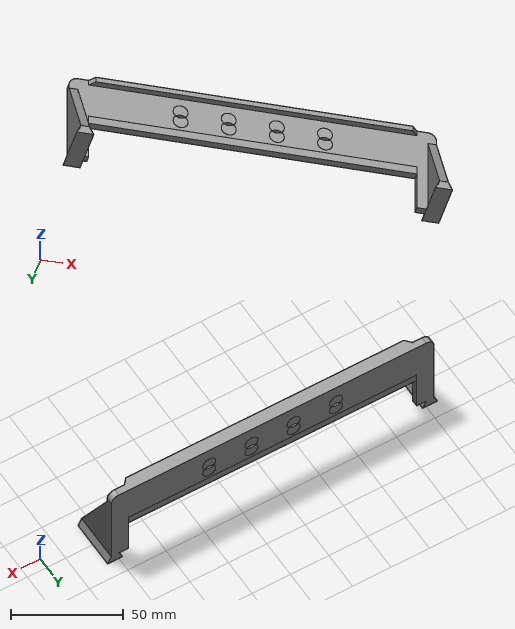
import cadquery as cq
import math

frame_width = 168.0
total_height = 46.8
wall = 3.6
corner_radius = 4.0
beam_height = 20.0
strip_height = 4.0
leg_width = 9.0

foot_height = 4.0
foot_length = 25.0
foot_flare = 1.9
gusset_thickness = 4.0
gusset_drop = 6.0

lip_height = 2.6
lip_depth = 3.0
lip_end_taper = 2.6

plug_diameter = 6.8
plug_pitch = 22.0
plug_columns = 4
plug_spacing = 5.2
pair_drop = 12.4

half_width = frame_width / 2
opening_half_width = half_width - leg_width
beam_bottom = total_height - beam_height
gusset_top = total_height - gusset_drop
plug_radius = plug_diameter / 2
pair_z = total_height - pair_drop
plug_x_positions = [(i - (plug_columns - 1) / 2) * plug_pitch for i in range(plug_columns)]

lens_half_width = math.sqrt(plug_radius**2 - (plug_spacing / 2) ** 2)
lens_half_height = plug_radius - plug_spacing / 2


def make_upright():
    """Beam with a leg at each end and rounded upper corners."""
    upright = (
        cq.Workplane("XZ")
        .moveTo(-half_width, foot_height)
        .lineTo(-half_width, total_height)
        .lineTo(half_width, total_height)
        .lineTo(half_width, foot_height)
        .lineTo(opening_half_width, foot_height)
        .lineTo(opening_half_width, beam_bottom)
        .lineTo(-opening_half_width, beam_bottom)
        .lineTo(-opening_half_width, foot_height)
        .close()
        .extrude(wall)
    )
    return upright.edges("|Y and >Z").edges("<X or >X").fillet(corner_radius)


def make_support(side):
    """Triangular gusset on a flared foot; side is -1 for the left end and 1 for the right."""
    outer_x = side * half_width
    inner_x = side * (half_width - gusset_thickness)
    gusset = (
        cq.Workplane("YZ", origin=(min(outer_x, inner_x), 0, 0))
        .polyline([
            (0, foot_height),
            (0, gusset_top),
            (-wall, gusset_top),
            (-foot_length, foot_height),
        ])
        .close()
        .extrude(gusset_thickness)
    )
    foot = (
        cq.Workplane("XZ")
        .polyline([
            (outer_x, foot_height),
            (outer_x + side * foot_flare, 0),
            (inner_x - side * foot_flare, 0),
            (inner_x, foot_height),
        ])
        .close()
        .extrude(foot_length)
    )
    return gusset.union(foot)


def make_plug_hole(x):
    """Through cutter for one pair: two overlapping cylinders."""
    return (
        cq.Workplane("XZ", origin=(x, 0, pair_z))
        .pushPoints([(0, plug_spacing / 2), (0, -plug_spacing / 2)])
        .circle(plug_radius)
        .extrude(wall)
    )


def make_lip():
    """Ledge along the top of the frame's front face, with tapered ends."""
    free_half_width = opening_half_width - lip_end_taper
    return (
        cq.Workplane("XY", origin=(0, 0, total_height - lip_height))
        .polyline([
            (-opening_half_width, -wall),
            (opening_half_width, -wall),
            (free_half_width, -wall - lip_depth),
            (-free_half_width, -wall - lip_depth),
        ])
        .close()
        .extrude(lip_height)
    )


def make_frame():
    frame = make_upright()
    for side in (-1, 1):
        frame = frame.union(make_support(side))
    frame = frame.union(make_lip())
    for x in plug_x_positions:
        frame = frame.cut(make_plug_hole(x))
    return frame


def make_strip():
    """Bar as thick as the frame, fitted under the beam from leg to leg."""
    return (
        cq.Workplane("XY", origin=(0, -wall / 2, beam_bottom))
        .rect(2 * opening_half_width, wall)
        .extrude(-strip_height)
    )


def make_plug(x, direction):
    """Crescent plug: a disc without the lens it would share with its partner.

    direction is 1 for the upper plug of a pair and -1 for the lower one.
    """
    far_z = direction * (plug_spacing / 2 + plug_radius)
    near_z = direction * lens_half_height
    return (
        cq.Workplane("XZ", origin=(x, 0, pair_z))
        .moveTo(-lens_half_width, 0)
        .threePointArc((0, far_z), (lens_half_width, 0))
        .threePointArc((0, near_z), (-lens_half_width, 0))
        .close()
        .extrude(wall)
    )


frame = make_frame()
strip = make_strip()
plugs = [make_plug(x, direction).val() for x in plug_x_positions for direction in (1, -1)]

result = cq.Compound.makeCompound([frame.val(), strip.val(), *plugs])